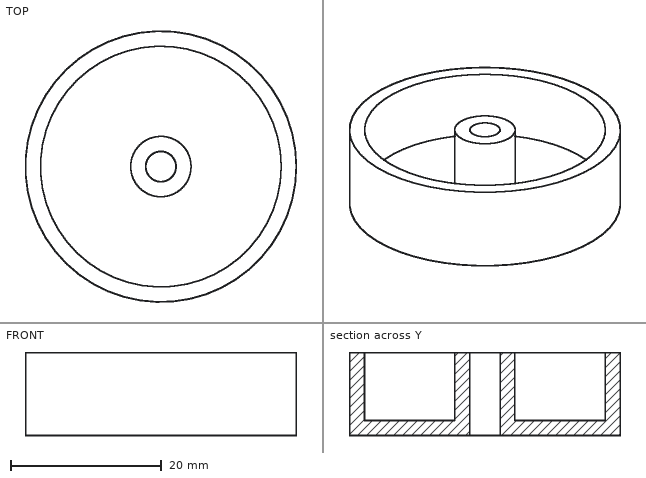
import cadquery as cq

outer_diameter = 36.0
height = 11.0
wall = 2.0
bore_diameter = 4.0

cavity_diameter = outer_diameter - 2 * wall
hub_diameter = bore_diameter + 2 * wall


def cylinder(diameter, bottom, top):
    """Upright cylinder on the Z axis between two heights."""
    return cq.Workplane("XY").workplane(offset=bottom).circle(diameter / 2).extrude(top - bottom)


cup = cylinder(outer_diameter, 0, height).cut(cylinder(cavity_diameter, wall, height))

hub = cylinder(hub_diameter, 0, height)

bore = cylinder(bore_diameter, 0, height)

result = cup.union(hub).cut(bore)